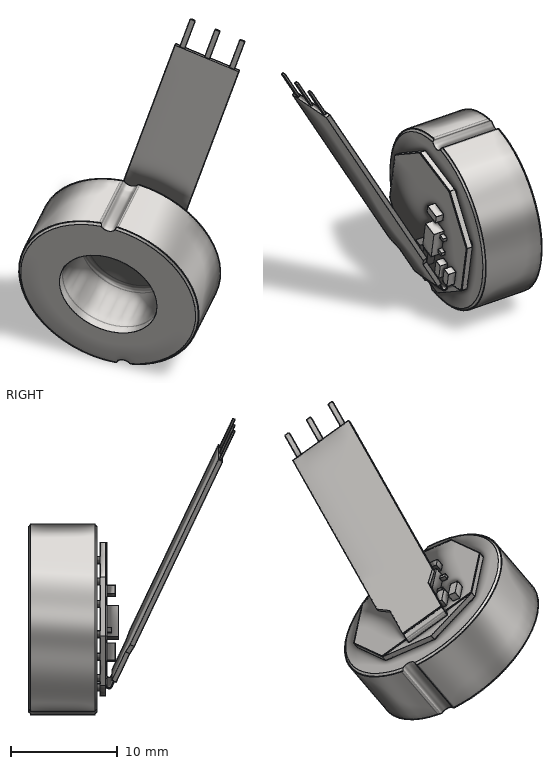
import cadquery as cq
import math

body_radius = 8.97
body_depth = 6.4
rim_step = 0.08
rim_chamfer = 0.2

bore_diameter = 9.7
bore_lip_depth = 0.9
bore_depth = 6.0
bore_floor_radius = 4.22
bore_corner_radius = 0.47

notch_radius = 0.78
notch_depth = 0.7
notch_corner_radius = 0.2
top_notch_angle = 90
bottom_notch_angle = -80

tilt = 12.5
board_corner_radius = 7.35
flex_margin = 0.03
board_sides = 8
board_gap = 0.28
board_thickness = 0.53
flex_thickness = 0.1
post_diameter = 0.7
post_circle_radius = 6.55

neck_width = 4.5
bend_height = -5.89
bend_radius = 0.25
lean = 25
bare_flex_length = 0.58
neck_length = 3.03
shoulder = 1.0
strip_width = 6.5
strip_length = 19.57
strip_thickness = 0.45

pin_count = 3
pin_pitch = 2.53
pin_width = 0.5
pin_thickness = 0.2
pin_length = 2.97
pin_tip_radius = 0.1

component_turn = -10
capacitor_width = 0.8
capacitor_length = 1.6
capacitor_height = 0.8
capacitor_row_z = -3.08
capacitor_row_x = (-4.7, -3.16, -0.85, 0.6)
cross_capacitor_x = -2.08
cross_capacitor_z = 2.65

chip_x = -2.0
chip_z = -0.3
chip_width = 1.6
chip_length = 2.97
chip_height = 1.1
lead_span = 2.8
lead_width = 0.4
lead_height = 0.42
lead_offset = 0.95

board_front = body_depth + board_gap
board_back = board_front + board_thickness
flex_back = board_back + flex_thickness
corner_step = 360 / board_sides
flex_middle = board_back + flex_thickness / 2
tab_top = -board_corner_radius * math.cos(math.radians(corner_step))
lean_sin = math.sin(math.radians(lean))
lean_cos = math.cos(math.radians(lean))


def turn_about_y(shape, angle):
    return shape.rotate((0, 0, 0), (0, 1, 0), angle)


def make_body():
    body = cq.Workplane("XZ").circle(body_radius).extrude(-body_depth)
    groove_distance = body_radius - notch_depth + notch_radius
    for angle in (top_notch_angle, bottom_notch_angle):
        groove_x = groove_distance * math.cos(math.radians(angle))
        groove_z = groove_distance * math.sin(math.radians(angle))
        groove = cq.Workplane("XZ").center(groove_x, groove_z).circle(notch_radius).extrude(-body_depth)
        body = body.cut(groove)
    body = body.edges("|Y").fillet(notch_corner_radius)
    return body.intersect(stepped_envelope()).cut(make_bore())


def stepped_envelope():
    """Full-radius sleeve between two slightly smaller, chamfered ends."""
    end_radius = body_radius - rim_step
    face_radius = end_radius - rim_chamfer
    profile = (
        cq.Workplane("XY")
        .moveTo(0, 0)
        .lineTo(face_radius, 0)
        .lineTo(end_radius, rim_chamfer)
        .lineTo(body_radius, rim_chamfer)
        .lineTo(body_radius, body_depth - rim_chamfer)
        .lineTo(end_radius, body_depth - rim_chamfer)
        .lineTo(face_radius, body_depth)
        .lineTo(0, body_depth)
        .close()
    )
    return profile.revolve(360, (0, 0, 0), (0, 1, 0))


def make_bore():
    """Blind bore: straight lip, slightly tapered wall, rounded corner, flat floor."""
    corner_y = bore_depth - bore_corner_radius
    corner_r = bore_floor_radius + bore_corner_radius
    arc_step = bore_corner_radius * math.sqrt(0.5)
    profile = (
        cq.Workplane("XY")
        .moveTo(0, 0)
        .lineTo(bore_diameter / 2, 0)
        .lineTo(bore_diameter / 2, bore_lip_depth)
        .lineTo(corner_r, corner_y)
        .threePointArc(
            (bore_floor_radius + arc_step, corner_y + arc_step),
            (bore_floor_radius, bore_depth),
        )
        .lineTo(0, bore_depth)
        .close()
    )
    return profile.revolve(360, (0, 0, 0), (0, 1, 0))


def make_board():
    """Octagonal board, upright, with a corner straight up."""
    board = (
        cq.Workplane("XZ", origin=(0, board_front, 0))
        .polygon(board_sides, 2 * board_corner_radius)
        .extrude(-board_thickness)
    )
    posts = (
        cq.Workplane("XZ", origin=(0, body_depth, 0))
        .polarArray(post_circle_radius, 90 + corner_step, 360 - 2 * corner_step, board_sides - 1)
        .circle(post_diameter / 2)
        .extrude(-board_gap)
    )
    return board.union(posts)


def make_flex_layer():
    """Octagon layer on the board, cut off level with its two lower side corners."""
    layer = (
        cq.Workplane("XZ", origin=(0, board_back, 0))
        .polygon(board_sides, 2 * (board_corner_radius - flex_margin))
        .extrude(-flex_thickness)
    )
    size = 2 * board_corner_radius
    keep = cq.Workplane("XY", origin=(0, flex_middle, tab_top)).box(
        size, size, size, centered=(True, True, False)
    )
    return layer.intersect(keep)


def make_tab_and_bend():
    """Side profile of the flex: down the board, round the bend, up along the lean."""
    center_y = flex_middle + bend_radius
    outer = bend_radius + flex_thickness / 2
    inner = bend_radius - flex_thickness / 2
    half_turn = math.radians((180 - lean) / 2)

    def on_bend(radius, angle):
        return (center_y - radius * math.cos(angle), bend_height - radius * math.sin(angle))

    def along_lean(point):
        return (point[0] + bare_flex_length * lean_sin, point[1] + bare_flex_length * lean_cos)

    outer_end = on_bend(outer, 2 * half_turn)
    inner_end = on_bend(inner, 2 * half_turn)
    profile = (
        cq.Workplane("YZ")
        .moveTo(board_back, tab_top)
        .lineTo(board_back, bend_height)
        .threePointArc(on_bend(outer, half_turn), outer_end)
        .lineTo(*along_lean(outer_end))
        .lineTo(*along_lean(inner_end))
        .lineTo(*inner_end)
        .threePointArc(on_bend(inner, half_turn), (flex_back, bend_height))
        .lineTo(flex_back, tab_top)
        .close()
    )
    return profile.extrude(neck_width / 2, both=True)


def make_strip_and_pins():
    exit_y = flex_middle + bend_radius * (1 + lean_cos)
    exit_z = bend_height - bend_radius * lean_sin
    lean_plane = cq.Plane(origin=(0, exit_y, exit_z), xDir=(1, 0, 0), normal=(0, -lean_cos, lean_sin))

    neck_end = bare_flex_length + neck_length
    wide_start = neck_end + shoulder
    strip_end = wide_start + strip_length
    half_neck = neck_width / 2
    half_strip = strip_width / 2
    strip = (
        cq.Workplane(lean_plane)
        .moveTo(-half_neck, bare_flex_length)
        .lineTo(half_neck, bare_flex_length)
        .lineTo(half_neck, neck_end)
        .lineTo(half_strip, wide_start)
        .lineTo(half_strip, strip_end)
        .lineTo(-half_strip, strip_end)
        .lineTo(-half_strip, wide_start)
        .lineTo(-half_neck, neck_end)
        .close()
        .extrude(strip_thickness / 2, both=True)
    )
    pin = (
        cq.Workplane("XY")
        .rect(pin_width, pin_length)
        .extrude(pin_thickness / 2, both=True)
        .edges("|Z and >Y")
        .fillet(pin_tip_radius)
    )
    for index in range(pin_count):
        pin_x = (index - (pin_count - 1) / 2) * pin_pitch
        placed = pin.translate((pin_x, strip_end + pin_length / 2, 0))
        strip = strip.union(cq.Workplane(placed.val().moved(cq.Location(lean_plane))))
    return strip


def make_capacitor(x, z, width, length):
    """Rectangular block standing on the back of the flex layer."""
    block = cq.Workplane("XZ").rect(width, length).extrude(-capacitor_height)
    return turn_about_y(block, component_turn).translate((x, flex_back, z))


def make_chip():
    """Three-lead chip: two leads on the left, one at the lower right."""
    chip = cq.Workplane("XZ").rect(chip_width, chip_length).extrude(-chip_height)
    lead_center = lead_span / 4
    for x, z in ((-lead_center, lead_offset), (-lead_center, -lead_offset), (lead_center, -lead_offset)):
        lead = cq.Workplane("XZ").center(x, z).rect(lead_span / 2, lead_width).extrude(-lead_height)
        chip = chip.union(lead)
    return turn_about_y(chip, component_turn).translate((chip_x, flex_back, chip_z))


tilted_parts = make_board()
for tilted_part in (make_flex_layer(), make_tab_and_bend(), make_strip_and_pins()):
    tilted_parts = tilted_parts.union(tilted_part)

result = make_body().union(turn_about_y(tilted_parts, tilt)).union(make_chip())
for row_x in capacitor_row_x:
    result = result.union(make_capacitor(row_x, capacitor_row_z, capacitor_width, capacitor_length))
result = result.union(
    make_capacitor(cross_capacitor_x, cross_capacitor_z, capacitor_length, capacitor_width)
)